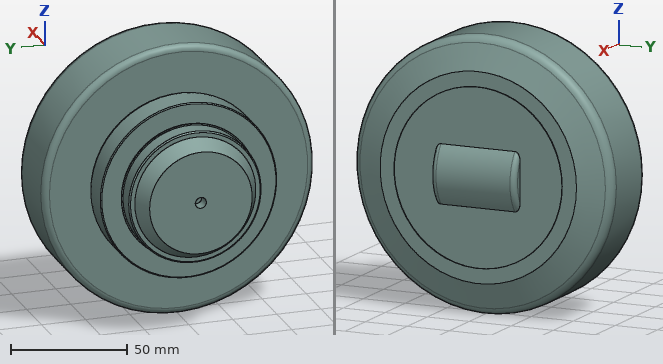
import cadquery as cq
import math

boss_start = 7.5
collar_start = 15.7
hub_start = 16.2
wheel_start = 30.0
crown_arc_start = 58.2
cone_end = 67.0
hub_end = 67.4
key_end = 72.3

nose_tip_radius = 23.2
nose_base_radius = 27.4
boss_radius = 60.0 / 2
collar_radius = 30.6
hub_radius = 80 / 2
wheel_radius = 123 / 2
cone_end_radius = 46.7

boss_chamfer = 0.6
hub_chamfer = 0.5
wheel_fillet = 3.0
crown_arc_radius = 4.8
crown_sweep = math.radians(69)

hole_diameter = 4.9
hole_depth = 6.1

key_radius = 20.4
key_length = 40.1
key_fillet = 2.5


def disc(start, end, radius):
    """Solid cylinder along X."""
    return cq.Workplane("YZ", origin=(start, 0, 0)).circle(radius).extrude(end - start)


def make_nose():
    profile = (
        cq.Workplane("XY")
        .polyline([(0, 0), (0, nose_tip_radius), (boss_start, nose_base_radius), (boss_start, 0)])
        .close()
    )
    return profile.revolve(360, (0, 0, 0), (1, 0, 0))


def make_wheel():
    def crown_point(angle):
        x = crown_arc_start + crown_arc_radius * math.sin(angle)
        radius = wheel_radius - crown_arc_radius * (1 - math.cos(angle))
        return x, radius

    profile = (
        cq.Workplane("XY")
        .moveTo(wheel_start, 0)
        .lineTo(wheel_start, wheel_radius - wheel_fillet)
        .radiusArc((wheel_start + wheel_fillet, wheel_radius), wheel_fillet)
        .lineTo(crown_arc_start, wheel_radius)
        .threePointArc(crown_point(crown_sweep / 2), crown_point(crown_sweep))
        .lineTo(cone_end, cone_end_radius)
        .lineTo(cone_end, 0)
        .close()
    )
    return profile.revolve(360, (0, 0, 0), (1, 0, 0))


def make_key():
    key = (
        cq.Workplane("XZ", origin=(key_end - key_radius, 0, 0))
        .circle(key_radius)
        .extrude(key_length / 2, both=True)
        .faces("<Y or >Y")
        .edges()
        .fillet(key_fillet)
    )
    keep = cq.Workplane("XY").box(
        key_end - cone_end, key_length, 2 * key_radius, centered=(False, True, True)
    )
    return key.intersect(keep.translate((cone_end, 0, 0)))


boss = disc(boss_start, collar_start, boss_radius).faces("<X").chamfer(boss_chamfer)
collar = disc(collar_start, hub_start, collar_radius)
near_hub = disc(hub_start, wheel_start, hub_radius).faces("<X or >X").chamfer(hub_chamfer)
far_hub = disc(cone_end, hub_end, hub_radius)
hole = disc(0, hole_depth, hole_diameter / 2)

result = make_nose()
for piece in (boss, collar, near_hub, make_wheel(), far_hub, make_key()):
    result = result.union(piece)
result = result.cut(hole)

result = result.translate((-key_end / 2, 0, 0))